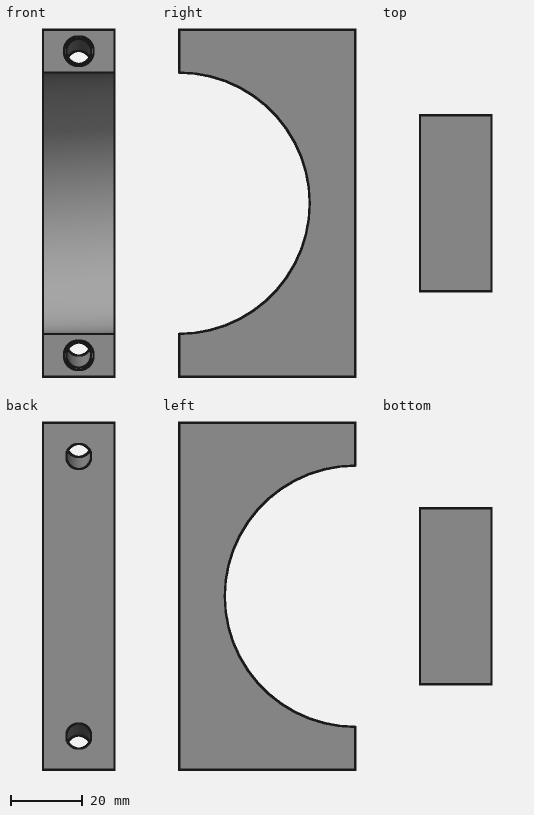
import cadquery as cq
import math

width = 20.0
depth = 49.1
height = 96.7

saddle_radius = 36.4

hole_diameter = 7.0
hole_mouth_diameter = 8.3
hole_lean = 4.0
hole_height = (saddle_radius + height / 2) / 2
overshoot = 4.8

block = cq.Workplane("XY").box(width, depth, height, centered=(True, False, True))
saddle = cq.Workplane("YZ").circle(saddle_radius).extrude(width / 2, both=True)


def bolt_hole(side):
    """Leaning bore with a countersunk mouth; side is +1 for the top ear, -1 for the bottom."""
    lean = math.radians(hole_lean)
    mouth = cq.Vector(0, 0, side * hole_height)
    axis = cq.Vector(0, math.cos(lean), -side * math.sin(lean))
    bore = cq.Solid.makeCylinder(
        hole_diameter / 2, depth + 2 * overshoot, mouth - axis * overshoot, axis
    )
    countersink_depth = (hole_mouth_diameter - hole_diameter) / 2
    countersink = cq.Solid.makeCone(
        hole_mouth_diameter / 2, hole_diameter / 2, countersink_depth, mouth, cq.Vector(0, 1, 0)
    )
    return bore.fuse(countersink)


result = block.cut(saddle)
for side in (1, -1):
    result = result.cut(cq.Workplane(obj=bolt_hole(side)))